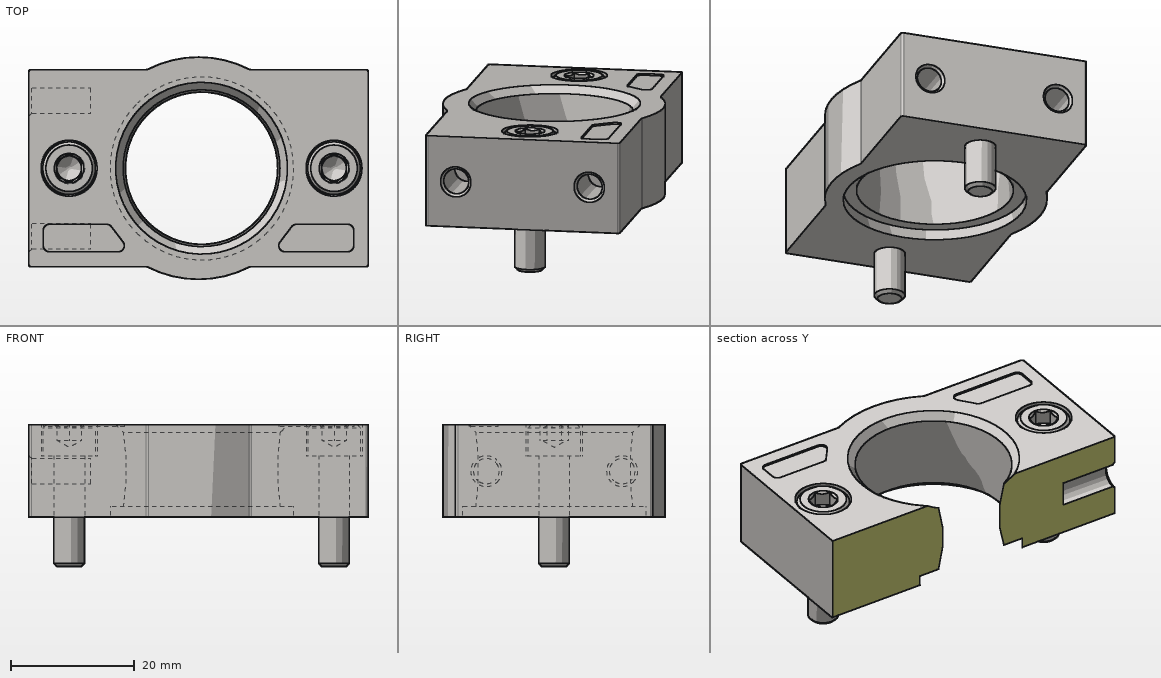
import cadquery as cq
import math

LENGTH = 55.0
DEPTH = 31.95
HEIGHT = 14.95
CORNER_RADIUS = 0.4
BULGE_DIAMETER = 36.0
BULGE_BLEND_RADIUS = 0.75

BORE_X = 0.5

BORE_TOP_DIAMETER = 27.85
BORE_TOP_CHAMFER = 1.2
BORE_RECESS_DIAMETER = 29.7
BORE_RECESS_DEPTH = 1.75
BORE_WAIST_DIAMETER = 24.55

SCREW_SPACING = 42.9
SHANK_DIAMETER = 5.0
SCREW_REACH = 8.05
SHANK_CHAMFER = 0.55
HEAD_DIAMETER = 8.5
HEAD_HEIGHT = 5.0
HEAD_CHAMFER = 0.5
HEX_ACROSS_FLATS = 4.0
HEX_DEPTH = 2.5
HEX_TIP_DEPTH = 1.15
HEX_MOUTH_DIAMETER = 4.8
COUNTERBORE_DIAMETER = 9.1

SIDE_HOLE_DIAMETER = 4.1
SIDE_HOLE_MOUTH_DIAMETER = 5.0
SIDE_HOLE_DEPTH = 10.0
SIDE_HOLE_SPACING = 22.0

LABEL_END_GAP = 2.35
LABEL_FAR_Y = -9.1
LABEL_NEAR_Y = -13.55
LABEL_TOP_REACH = 14.9
LABEL_TIP_REACH = 11.5
LABEL_RADIUS = 1.0
LABEL_DEPTH = 0.3

SCREW_XS = [BORE_X - SCREW_SPACING / 2, BORE_X + SCREW_SPACING / 2]


def cone(bottom_diameter, top_diameter, height, base, axis=(0, 0, 1)):
    """Truncated cone standing on the point base."""
    solid = cq.Solid.makeCone(
        bottom_diameter / 2, top_diameter / 2, height, cq.Vector(*base), cq.Vector(*axis)
    )
    return cq.Workplane(obj=solid)


def make_block():
    """Rectangular block with a round bulge on both long sides."""
    half_chord = math.sqrt(BULGE_DIAMETER ** 2 - DEPTH ** 2) / 2
    block = cq.Workplane().box(LENGTH, DEPTH, HEIGHT, centered=(True, True, False))
    bulge = cq.Workplane().circle(BULGE_DIAMETER / 2).extrude(HEIGHT)
    block = block.union(bulge)
    for x in (-LENGTH / 2, LENGTH / 2):
        for y in (-DEPTH / 2, DEPTH / 2):
            block = block.edges(cq.selectors.NearestToPointSelector((x, y, HEIGHT / 2)))
            block = block.fillet(CORNER_RADIUS)
    for x in (-half_chord, half_chord):
        for y in (-DEPTH / 2, DEPTH / 2):
            block = block.edges(cq.selectors.NearestToPointSelector((x, y, HEIGHT / 2)))
            block = block.fillet(BULGE_BLEND_RADIUS)
    return block


def make_bore():
    """Revolved cutter for the waisted bore, its top chamfer and its bottom counterbore."""
    wall_end_radius = BORE_TOP_DIAMETER / 2 - BORE_TOP_CHAMFER
    wall_top = HEIGHT - BORE_TOP_CHAMFER
    waist_height = (BORE_RECESS_DEPTH + wall_top) / 2
    profile = (
        cq.Workplane("XZ")
        .lineTo(BORE_RECESS_DIAMETER / 2, 0)
        .lineTo(BORE_RECESS_DIAMETER / 2, BORE_RECESS_DEPTH)
        .lineTo(wall_end_radius, BORE_RECESS_DEPTH)
        .threePointArc((BORE_WAIST_DIAMETER / 2, waist_height), (wall_end_radius, wall_top))
        .lineTo(BORE_TOP_DIAMETER / 2, HEIGHT)
        .lineTo(0, HEIGHT)
        .close()
    )
    return profile.revolve(360, (0, 0, 0), (0, 1, 0)).translate((BORE_X, 0, 0))


def make_screw_hole(x):
    """Counterbored through hole for one screw."""
    shank_hole = cq.Workplane().center(x, 0).circle(SHANK_DIAMETER / 2).extrude(HEIGHT)
    counterbore = (
        cq.Workplane(origin=(x, 0, HEIGHT)).circle(COUNTERBORE_DIAMETER / 2).extrude(-HEAD_HEIGHT)
    )
    return shank_hole.union(counterbore)


def make_side_hole(y):
    """Blind hole with a 45 degree mouth in the -X end face."""
    mouth = (-LENGTH / 2, y, HEIGHT / 2)
    mouth_depth = (SIDE_HOLE_MOUTH_DIAMETER - SIDE_HOLE_DIAMETER) / 2
    hole = cq.Workplane("YZ", origin=mouth).circle(SIDE_HOLE_DIAMETER / 2).extrude(SIDE_HOLE_DEPTH)
    return hole.union(cone(SIDE_HOLE_MOUTH_DIAMETER, SIDE_HOLE_DIAMETER, mouth_depth, mouth, (1, 0, 0)))


def make_label_recess(side):
    """Shallow label recess; side is -1 for the -X end and +1 for the +X end."""
    outer_x = side * (LENGTH / 2 - LABEL_END_GAP)
    outline = [
        (outer_x, LABEL_FAR_Y),
        (BORE_X + side * LABEL_TOP_REACH, LABEL_FAR_Y),
        (BORE_X + side * LABEL_TIP_REACH, LABEL_NEAR_Y),
        (outer_x, LABEL_NEAR_Y),
    ]
    recess = cq.Workplane(origin=(0, 0, HEIGHT - LABEL_DEPTH)).polyline(outline).close()
    return recess.extrude(LABEL_DEPTH).edges("|Z").fillet(LABEL_RADIUS)


def make_housing():
    housing = make_block().cut(make_bore())
    for x in SCREW_XS:
        housing = housing.cut(make_screw_hole(x))
    for y in (-SIDE_HOLE_SPACING / 2, SIDE_HOLE_SPACING / 2):
        housing = housing.cut(make_side_hole(y))
    for side in (-1, 1):
        housing = housing.cut(make_label_recess(side))
    return housing


def make_hex_socket():
    """Cutter for the hex socket, with a conical mouth and a conical tip, top on Z = HEIGHT."""
    across_corners = HEX_ACROSS_FLATS / math.cos(math.radians(30))
    mouth_depth = (HEX_MOUTH_DIAMETER - HEX_ACROSS_FLATS) / 2
    hexagon = cq.Workplane(origin=(0, 0, HEIGHT)).polygon(6, across_corners).extrude(-HEX_DEPTH)
    hexagon = hexagon.rotate((0, 0, 0), (0, 0, 1), 30)
    mouth = cone(HEX_ACROSS_FLATS, HEX_MOUTH_DIAMETER, mouth_depth, (0, 0, HEIGHT - mouth_depth))
    tip = cone(0, HEX_ACROSS_FLATS, HEX_TIP_DEPTH, (0, 0, HEIGHT - HEX_DEPTH - HEX_TIP_DEPTH))
    return hexagon.union(mouth).union(tip)


def make_screw(x):
    """Socket head screw with its head flush with the top of the housing."""
    shank = (
        cq.Workplane(origin=(0, 0, -SCREW_REACH))
        .circle(SHANK_DIAMETER / 2)
        .extrude(SCREW_REACH + HEIGHT - HEAD_HEIGHT)
        .faces("<Z")
        .chamfer(SHANK_CHAMFER)
    )
    head = (
        cq.Workplane(origin=(0, 0, HEIGHT - HEAD_HEIGHT))
        .circle(HEAD_DIAMETER / 2)
        .extrude(HEAD_HEIGHT)
        .faces(">Z")
        .chamfer(HEAD_CHAMFER)
    )
    return shank.union(head).cut(make_hex_socket()).translate((x, 0, 0))


housing = make_housing()
screws = [make_screw(x) for x in SCREW_XS]
result = cq.Compound.makeCompound([housing.val(), *[screw.val() for screw in screws]])